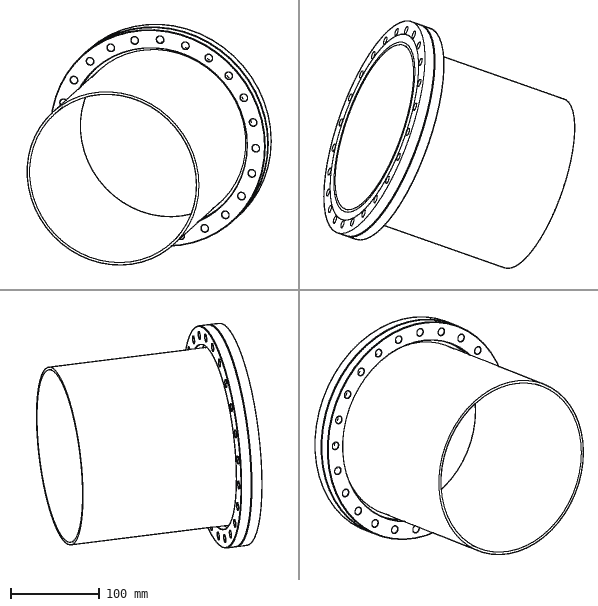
import cadquery as cq

OVERALL_LENGTH = 203.2
FLANGE_DIAMETER = 254.0
FLANGE_THICKNESS = 24.6

TUBE_OUTER_DIAMETER = 203.2
TUBE_BORE_DIAMETER = 197.0

WELD_RING_DIAMETER = 222.0
WELD_RING_THICKNESS = 16.3

RING_BORE_DIAMETER = 211.0
RING_RECESS_DIAMETER = 222.2
RIM_CHAMFER = 0.8
BORE_CHAMFER = 0.5
RIM_GROOVE_WIDTH = 1.0
RIM_GROOVE_DEPTH = 0.5

BOLT_HOLE_COUNT = 24
BOLT_HOLE_DIAMETER = 8.5
BOLT_HOLE_CHAMFER = 0.38
BOLT_CIRCLE_DIAMETER = 231.9
BOLT_CIRCLE_TURN = -1.4

FRONT_Y = OVERALL_LENGTH / 2
TUBE_REAR_Y = -OVERALL_LENGTH / 2
FLANGE_REAR_Y = FRONT_Y - FLANGE_THICKNESS
SHOULDER_Y = FRONT_Y - WELD_RING_THICKNESS
RIM_GROOVE_Y = FRONT_Y - FLANGE_THICKNESS / 2


def revolve_profile(points):
    """Revolve a closed (radius, Y) outline into a solid about the Y axis."""
    return cq.Workplane("XY").polyline(points).close().revolve(360, (0, 0, 0), (0, 1, 0))


def sleeve(outer_diameter, inner_diameter, start_y, end_y):
    """Hollow cylinder about the Y axis between two Y positions."""
    outer_radius = outer_diameter / 2
    inner_radius = inner_diameter / 2
    return revolve_profile([
        (inner_radius, start_y),
        (outer_radius, start_y),
        (outer_radius, end_y),
        (inner_radius, end_y),
    ])


def make_tube():
    """Plain tube that runs through the weld ring to the sealing face."""
    return sleeve(TUBE_OUTER_DIAMETER, TUBE_BORE_DIAMETER, TUBE_REAR_Y, FRONT_Y)


def make_weld_ring():
    """Inner ring that fits closely around the front end of the tube."""
    return sleeve(WELD_RING_DIAMETER, TUBE_OUTER_DIAMETER, SHOULDER_Y, FRONT_Y)


def make_ring_blank():
    """Outer ring with chamfered rear edges and a front recess that holds the weld ring."""
    rim_radius = FLANGE_DIAMETER / 2
    bore_radius = RING_BORE_DIAMETER / 2
    recess_radius = RING_RECESS_DIAMETER / 2
    return revolve_profile([
        (bore_radius + BORE_CHAMFER, FLANGE_REAR_Y),
        (rim_radius - RIM_CHAMFER, FLANGE_REAR_Y),
        (rim_radius, FLANGE_REAR_Y + RIM_CHAMFER),
        (rim_radius, FRONT_Y),
        (recess_radius, FRONT_Y),
        (recess_radius, SHOULDER_Y),
        (bore_radius, SHOULDER_Y),
        (bore_radius, FLANGE_REAR_Y + BORE_CHAMFER),
    ])


def make_rim_groove():
    """Cutter for the fine groove around the middle of the rim."""
    groove_start_y = RIM_GROOVE_Y - RIM_GROOVE_WIDTH / 2
    groove_floor_diameter = FLANGE_DIAMETER - 2 * RIM_GROOVE_DEPTH
    return sleeve(FLANGE_DIAMETER, groove_floor_diameter, groove_start_y, groove_start_y + RIM_GROOVE_WIDTH)


def make_bolt_hole():
    """Cutter for one through hole with a chamfered rear mouth, centred on the Y axis."""
    hole_radius = BOLT_HOLE_DIAMETER / 2
    return revolve_profile([
        (0, FLANGE_REAR_Y),
        (hole_radius + BOLT_HOLE_CHAMFER, FLANGE_REAR_Y),
        (hole_radius, FLANGE_REAR_Y + BOLT_HOLE_CHAMFER),
        (hole_radius, FRONT_Y),
        (0, FRONT_Y),
    ])


def make_rotatable_ring():
    """Outer bolted ring with its rim groove and its circle of bolt holes."""
    ring = make_ring_blank().cut(make_rim_groove())
    first_hole = make_bolt_hole().translate((BOLT_CIRCLE_DIAMETER / 2, 0, 0))
    for index in range(BOLT_HOLE_COUNT):
        angle = BOLT_CIRCLE_TURN + index * 360 / BOLT_HOLE_COUNT
        ring = ring.cut(first_hole.rotate((0, 0, 0), (0, -1, 0), angle))
    return ring


tube = make_tube()
weld_ring = make_weld_ring()
rotatable_ring = make_rotatable_ring()

result = cq.Compound.makeCompound([tube.val(), weld_ring.val(), *rotatable_ring.solids().vals()])